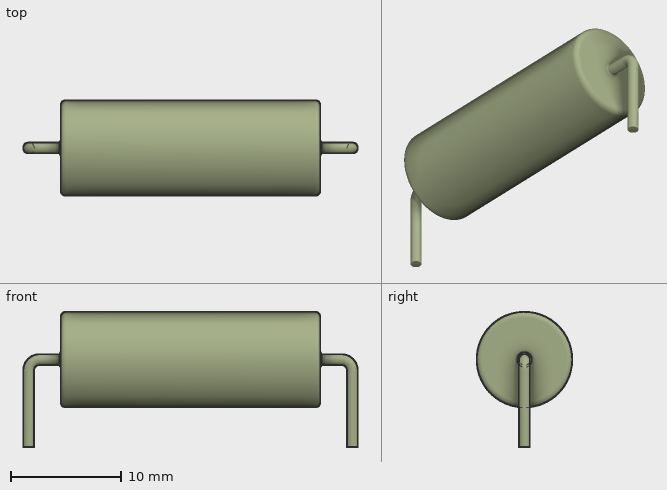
import cadquery as cq

overall_length = 30.4
overall_height = 12.3
body_diameter = 8.7
body_length = 23.6
body_edge_radius = 0.5
lead_diameter = 1.0
lead_bend_radius = 1.0
collar_diameter = 1.35
collar_thickness = 0.1

body_end_x = body_length / 2
lead_drop_x = (overall_length - lead_diameter) / 2
lead_bottom_z = body_diameter / 2 - overall_height
end_sides = (-1, 1)


def make_collar(side):
    """Low cone on an end face, narrowing to the lead's diameter; side is -1 or +1."""
    return cq.Solid.makeCone(
        collar_diameter / 2,
        lead_diameter / 2,
        collar_thickness,
        pnt=cq.Vector(side * body_end_x, 0, 0),
        dir=cq.Vector(side, 0, 0),
    )


def make_body():
    """Cylindrical body with rounded rims and a conical collar on each end face."""
    body = (
        cq.Workplane("YZ", origin=(-body_end_x, 0, 0))
        .circle(body_diameter / 2)
        .extrude(body_length)
        .edges("%CIRCLE")
        .fillet(body_edge_radius)
    )
    for side in end_sides:
        body = body.union(cq.Workplane(make_collar(side)))
    return body


def make_lead(side):
    """Round wire that leaves the collar along X and bends down; side is -1 or +1."""
    start_x = side * (body_end_x + collar_thickness)
    drop_x = side * lead_drop_x
    bend_start_x = drop_x - side * lead_bend_radius
    path = (
        cq.Workplane("XZ")
        .moveTo(start_x, 0)
        .lineTo(bend_start_x, 0)
        .tangentArcPoint((drop_x, -lead_bend_radius), relative=False)
        .lineTo(drop_x, lead_bottom_z)
    )
    return (
        cq.Workplane("YZ", origin=(start_x, 0, 0))
        .circle(lead_diameter / 2)
        .sweep(path)
    )


body = make_body()
leads = [make_lead(side) for side in end_sides]

result = cq.Compound.makeCompound([body.val(), *[lead.val() for lead in leads]])